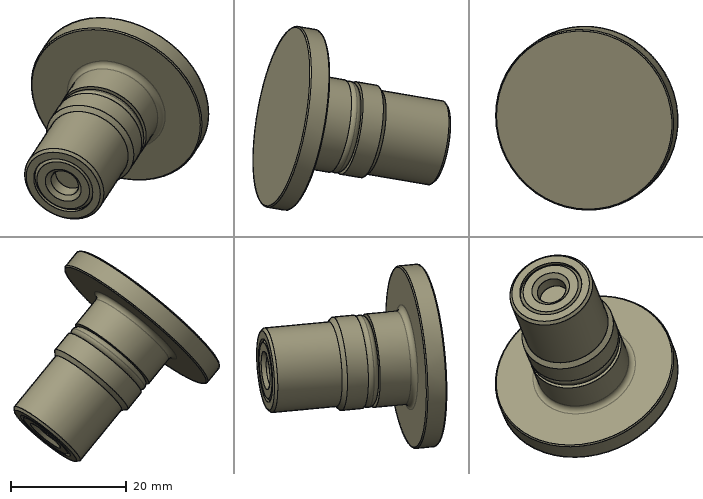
import cadquery as cq
import math

total_length = 28.62
flange_radius = 15.9
flange_thickness = 3.65
flange_chamfer = 0.22

barrel_radius = 8.15
root_fillet = 1.0
barrel_length = 15.93
shoulder_chamfer = 0.75
neck_radius = barrel_radius - shoulder_chamfer
tip_chamfer = 0.48

groove_start = 10.1
groove_width = 2.1
groove_floor_radius = 6.2
ring_outer_radius = 8.05
ring_section_radius = 1.02

insert_radius = 5.5
insert_chamfer = 0.6
bore_radius = 2.55
bore_depth = 2.85
countersink_radius = 3.35
countersink_depth = 0.7

back_y = total_length / 2
tip_y = -back_y


def turn(profile):
    """Revolve an XY half-profile a full turn about the Y axis."""
    return profile.close().revolve(360, (0, 0, 0), (0, 1, 0))


def make_body():
    flange_front_y = back_y - flange_thickness
    shoulder_y = back_y - barrel_length
    fillet_mid = root_fillet * (1 - math.sqrt(0.5))
    return turn(
        cq.Workplane("XY")
        .moveTo(0, back_y)
        .lineTo(flange_radius - flange_chamfer, back_y)
        .lineTo(flange_radius, back_y - flange_chamfer)
        .lineTo(flange_radius, flange_front_y + flange_chamfer)
        .lineTo(flange_radius - flange_chamfer, flange_front_y)
        .lineTo(barrel_radius + root_fillet, flange_front_y)
        .threePointArc(
            (barrel_radius + fillet_mid, flange_front_y - fillet_mid),
            (barrel_radius, flange_front_y - root_fillet),
        )
        .lineTo(barrel_radius, shoulder_y)
        .lineTo(neck_radius, shoulder_y - shoulder_chamfer)
        .lineTo(neck_radius, tip_y + tip_chamfer)
        .lineTo(neck_radius - tip_chamfer, tip_y)
        .lineTo(0, tip_y)
    )


def make_groove():
    start_y = back_y - groove_start
    end_y = start_y - groove_width
    return turn(
        cq.Workplane("XY")
        .moveTo(groove_floor_radius, start_y)
        .lineTo(barrel_radius, start_y)
        .lineTo(barrel_radius, end_y)
        .lineTo(groove_floor_radius, end_y)
    )


def make_sealing_ring():
    """O-ring centred in the groove and sunk slightly into its floor."""
    centre_radius = ring_outer_radius - ring_section_radius
    centre_y = back_y - groove_start - groove_width / 2
    return (
        cq.Workplane("XY")
        .center(centre_radius, centre_y)
        .circle(ring_section_radius)
        .revolve(360, (-centre_radius, 0, 0), (-centre_radius, 1, 0))
    )


def make_insert_gap():
    """V-shaped gap left by the chamfered rim of the insert."""
    return turn(
        cq.Workplane("XY")
        .moveTo(insert_radius - insert_chamfer, tip_y)
        .lineTo(insert_radius, tip_y)
        .lineTo(insert_radius, tip_y + insert_chamfer)
    )


def make_bore():
    """Blind, countersunk bore in the tip."""
    return turn(
        cq.Workplane("XY")
        .moveTo(0, tip_y)
        .lineTo(countersink_radius, tip_y)
        .lineTo(bore_radius, tip_y + countersink_depth)
        .lineTo(bore_radius, tip_y + bore_depth)
        .lineTo(0, tip_y + bore_depth)
    )


result = (
    make_body()
    .cut(make_groove())
    .union(make_sealing_ring())
    .cut(make_insert_gap())
    .cut(make_bore())
)